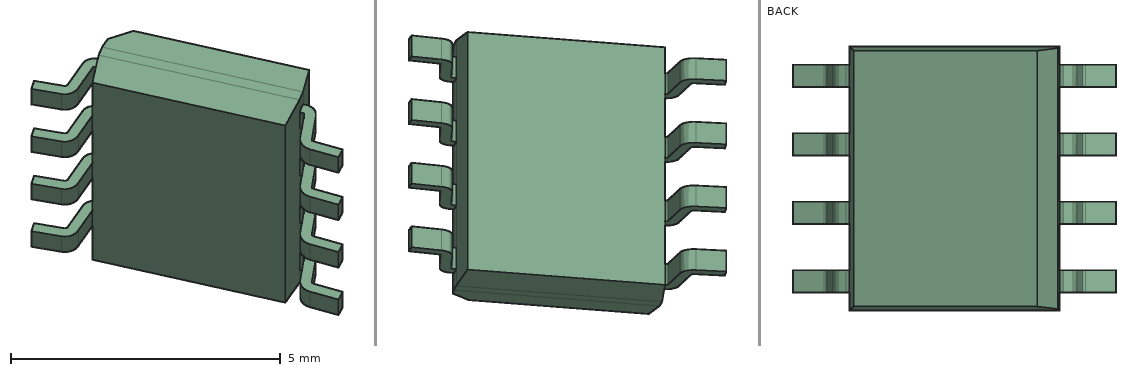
import cadquery as cq
import math

SPAN = 5.99
PACKAGE_WIDTH = 3.9
PACKAGE_LENGTH = 4.9
PACKAGE_THICKNESS = 1.5
DRAFT = 7.0
BEVEL = 0.415
STANDOFF = 0.25

LEADS_PER_SIDE = 4
LEAD_PITCH = 1.27
LEAD_WIDTH = 0.42
LEAD_THICKNESS = 0.215
SHOULDER = 0.065
LEG_ANGLE = 10.0
FOOT_ANGLE = 4.0
SHOULDER_INNER_RADIUS = 0.035
HEEL_INNER_RADIUS = 0.06

HALF_WIDTH = PACKAGE_WIDTH / 2
HALF_THICKNESS = PACKAGE_THICKNESS / 2
BAND = LEAD_THICKNESS
TAPERED_DEPTH = (PACKAGE_THICKNESS - BAND) / 2


def make_package():
    """Moulded package: a straight band between two tapered halves, bevelled on one side."""
    outline = cq.Workplane("XZ").rect(PACKAGE_WIDTH, PACKAGE_LENGTH)
    band = outline.extrude(BAND / 2, both=True)
    lower_half = (
        cq.Workplane("XZ", origin=(0, -BAND / 2, 0))
        .rect(PACKAGE_WIDTH, PACKAGE_LENGTH)
        .extrude(TAPERED_DEPTH, taper=DRAFT)
    )
    upper_half = lower_half.mirror("XZ")
    bevel_cutter = (
        cq.Workplane("XY")
        .moveTo(-HALF_WIDTH, HALF_THICKNESS)
        .lineTo(-HALF_WIDTH + BEVEL, HALF_THICKNESS)
        .lineTo(-HALF_WIDTH, HALF_THICKNESS - BEVEL)
        .close()
        .extrude(PACKAGE_LENGTH / 2, both=True)
    )
    return band.union(lower_half).union(upper_half).cut(bevel_cutter)


def make_lead():
    """Gull-wing lead on the +X side, centred on Z = 0: a flat strip swept along its centreline."""
    leg_lean = math.radians(LEG_ANGLE)
    foot_slope = math.radians(FOOT_ANGLE)
    leg_direction = cq.Vector(math.sin(leg_lean), -math.cos(leg_lean))
    foot_direction = cq.Vector(math.cos(foot_slope), -math.sin(foot_slope))
    half_strip = LEAD_THICKNESS / 2

    shoulder_turn = math.pi / 2 - leg_lean
    heel_turn = shoulder_turn - foot_slope
    shoulder_setback = (SHOULDER_INNER_RADIUS + half_strip) * math.tan(shoulder_turn / 2)
    heel_setback = (HEEL_INNER_RADIUS + half_strip) * math.tan(heel_turn / 2)

    shoulder = cq.Vector(HALF_WIDTH + SHOULDER + shoulder_setback, 0)
    tip = cq.Vector(
        SPAN / 2 - half_strip * math.sin(foot_slope),
        -HALF_THICKNESS - STANDOFF + half_strip * math.cos(foot_slope),
    )
    heel_y = (tip.y + (tip.x - shoulder.x) * math.tan(foot_slope)) / (
        1 - math.tan(leg_lean) * math.tan(foot_slope)
    )
    heel = cq.Vector(shoulder.x - heel_y * math.tan(leg_lean), heel_y)

    centreline = (
        cq.Workplane("XY")
        .moveTo(HALF_WIDTH, 0)
        .lineTo(HALF_WIDTH + SHOULDER, 0)
        .tangentArcPoint((shoulder + leg_direction * shoulder_setback).toTuple(), relative=False)
        .lineTo(*(heel - leg_direction * heel_setback).toTuple()[:2])
        .tangentArcPoint((heel + foot_direction * heel_setback).toTuple(), relative=False)
        .lineTo(tip.x, tip.y)
    )
    strip = cq.Workplane("YZ", origin=(HALF_WIDTH, 0, 0)).rect(LEAD_THICKNESS, LEAD_WIDTH)
    return strip.sweep(centreline)


package = make_package()

right_lead = make_lead()
left_lead = right_lead.mirror("YZ")
lowest_lead_z = -LEAD_PITCH * (LEADS_PER_SIDE - 1) / 2
leads = []
for position in range(LEADS_PER_SIDE):
    lead_z = lowest_lead_z + position * LEAD_PITCH
    leads.append(right_lead.translate((0, 0, lead_z)).val())
    leads.append(left_lead.translate((0, 0, lead_z)).val())

result = cq.Compound.makeCompound([package.solids().val(), *leads])